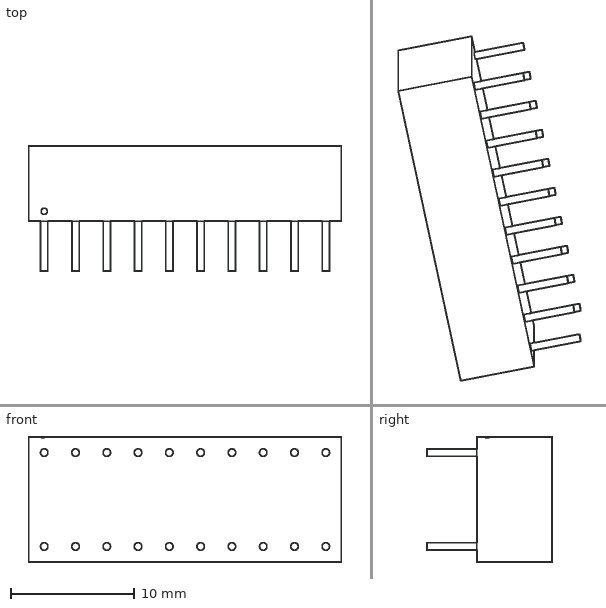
import cadquery as cq

body_length = 25.4
body_depth = 6.1
body_height = 10.15

pin_rows = 2
pins_per_row = 10
pin_pitch = 2.55
row_spacing = 7.62
pin_diameter = 0.6
pin_length = 4.06

mark_diameter = 0.5
mark_depth = 0.1
mark_setback = 0.8

first_pin_x = -pin_pitch * (pins_per_row - 1) / 2


def make_body():
    return cq.Workplane("XY").box(body_length, body_depth, body_height, centered=(True, False, True))


def make_pins():
    return (
        cq.Workplane("XZ")
        .rarray(pin_pitch, row_spacing, pins_per_row, pin_rows)
        .circle(pin_diameter / 2)
        .extrude(pin_length)
    )


def make_first_pin_mark():
    return (
        cq.Workplane("XY", origin=(first_pin_x, mark_setback, body_height / 2))
        .circle(mark_diameter / 2)
        .extrude(-mark_depth)
    )


result = make_body().union(make_pins()).cut(make_first_pin_mark())